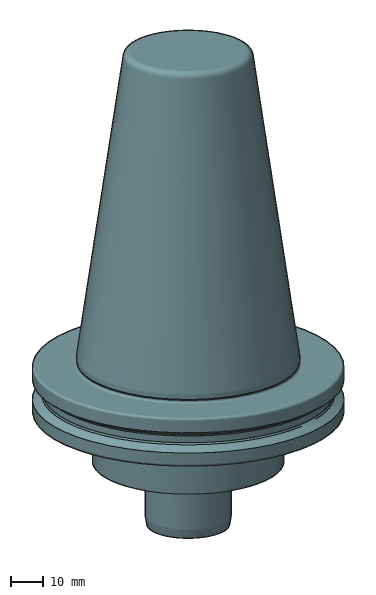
import cadquery as cq
import math

pin_diameter = 27.0
pin_length = 21.0
pin_chamfer_height = 3.0
pin_chamfer_width = 0.5

shoulder_diameter = 60.0
shoulder_length = 16.0

flange_diameter = 97.45
flange_thickness = 16.0
flange_edge_radius = 0.8

groove_floor_diameter = 91.0
groove_mouth_width = 6.75
groove_flank_angle = 30.0
groove_root_radius = 0.7

collar_length = 3.0
collar_relief_height = 1.4
collar_relief_depth = 0.2
collar_relief_slope_height = 0.4
collar_root_radius = 0.7

gauge_diameter = 69.85
taper_ratio = 7 / 24
taper_length = 101.6
taper_end_radius = 2.2

shoulder_z = pin_length
flange_z = shoulder_z + shoulder_length
collar_z = flange_z + flange_thickness
gauge_z = collar_z + collar_length
top_z = gauge_z + taper_length


def cylinder(diameter, bottom, height):
    return cq.Workplane("XY").workplane(offset=bottom).circle(diameter / 2).extrude(height)


def revolve_profile(points):
    """Revolve a closed (radius, height) outline about the Z axis."""
    return cq.Workplane("XZ").polyline(points).close().revolve(360, (0, 0, 0), (0, 1, 0))


def make_pin():
    pin = cylinder(pin_diameter, 0, pin_length)
    return pin.faces("<Z").edges().chamfer(pin_chamfer_height, pin_chamfer_width)


def make_groove():
    """Ring that cuts the V groove, with rounded root corners."""
    flange_radius = flange_diameter / 2
    floor_radius = groove_floor_diameter / 2
    middle = flange_z + flange_thickness / 2
    half_mouth = groove_mouth_width / 2
    half_floor = half_mouth - (flange_radius - floor_radius) * math.tan(math.radians(groove_flank_angle))
    ring = revolve_profile([
        (flange_radius, middle - half_mouth),
        (floor_radius, middle - half_floor),
        (floor_radius, middle + half_floor),
        (flange_radius, middle + half_mouth),
    ])
    smallest_edges = cq.selectors.RadiusNthSelector(0)
    return ring.edges(smallest_edges).fillet(groove_root_radius)


def make_flange():
    flange = cylinder(flange_diameter, flange_z, flange_thickness)
    flange = flange.edges("%CIRCLE").fillet(flange_edge_radius)
    return flange.cut(make_groove())


def make_collar():
    """Collar with a shallow relief below it that sweeps out into the flange face."""
    collar_radius = gauge_diameter / 2
    relief_radius = collar_radius - collar_relief_depth
    relief_top = collar_z + collar_relief_height
    arc_offset = collar_root_radius * (1 - math.sqrt(0.5))
    profile = (
        cq.Workplane("XZ")
        .moveTo(0, collar_z)
        .lineTo(relief_radius + collar_root_radius, collar_z)
        .threePointArc(
            (relief_radius + arc_offset, collar_z + arc_offset),
            (relief_radius, collar_z + collar_root_radius),
        )
        .lineTo(relief_radius, relief_top - collar_relief_slope_height)
        .lineTo(collar_radius, relief_top)
        .lineTo(collar_radius, gauge_z)
        .lineTo(0, gauge_z)
        .close()
    )
    return profile.revolve(360, (0, 0, 0), (0, 1, 0))


def make_taper():
    top_radius = (gauge_diameter - taper_ratio * taper_length) / 2
    taper = revolve_profile([
        (0, gauge_z),
        (gauge_diameter / 2, gauge_z),
        (top_radius, top_z),
        (0, top_z),
    ])
    return taper.faces(">Z").edges().fillet(taper_end_radius)


shoulder = cylinder(shoulder_diameter, shoulder_z, shoulder_length)
result = make_pin().union(shoulder).union(make_flange()).union(make_collar()).union(make_taper())